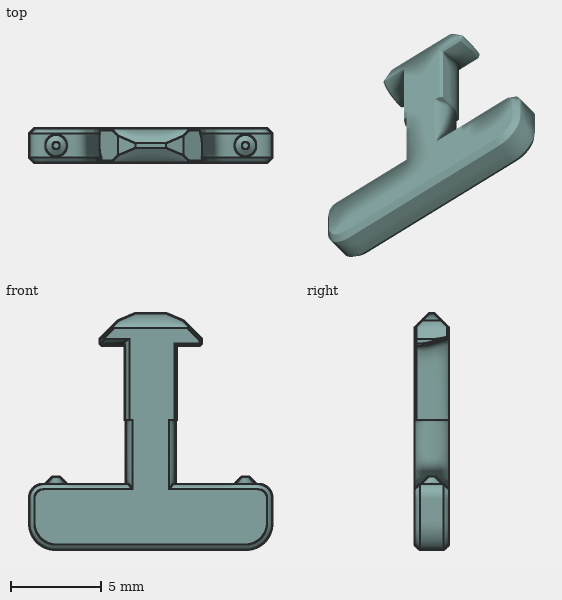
import cadquery as cq
import math

thickness = 1.93
half_thickness = thickness / 2
total_height = 13.14

bar_length = 13.504
bar_height = 3.67
bar_bottom_radius = 1.5
bar_top_radius = 0.8
bar_chamfer = 0.3

bump_spacing = 10.5
bump_base_radius = 0.6
bump_tip_radius = 0.2
bump_height = 0.4

shaft_radius = 1.39
neck_half_width = 1.45
neck_start = 7.22
neck_arc_start = 0.23
neck_arc_inset = 0.27
edge_chamfer = 0.13

head_half_length = 2.84
head_bottom = 11.32
head_side_height = 0.38
crest_half_length = 0.85
crest_half_width = 0.13
end_break_half_length = 1.81
ramp_start = 0.35
ramp_rise = 0.39


def make_bar():
    """Flat bar with rounded corners and chamfered faces."""
    bar = (
        cq.Workplane("XY")
        .box(bar_length, thickness, bar_height, centered=(True, True, False))
        .edges("|Y and <Z").fillet(bar_bottom_radius)
        .edges("|Y and >Z").fillet(bar_top_radius)
    )
    return bar.faces("<Y or >Y").chamfer(bar_chamfer)


def make_bump(x):
    """Truncated cone standing on the bar."""
    cone = cq.Solid.makeCone(
        bump_base_radius, bump_tip_radius, bump_height, pnt=cq.Vector(x, 0, bar_height)
    )
    return cq.Workplane(obj=cone)


def make_shaft():
    """Round shaft, flattened to the part thickness, rooted inside the bar."""
    root = bar_height / 2
    length = neck_start - root
    flats = cq.Workplane("XY", origin=(0, 0, root)).box(
        2 * shaft_radius, thickness, length, centered=(True, True, False)
    )
    return cq.Workplane("XY", origin=(0, 0, root)).circle(shaft_radius).extrude(length).intersect(flats)


def make_neck():
    """Neck with two opposite curved corners and two opposite chamfered corners."""
    arc_end_x = neck_half_width - neck_arc_inset
    neck_end = head_bottom + ramp_rise + edge_chamfer
    chamfer_x = neck_half_width - edge_chamfer
    chamfer_y = half_thickness - edge_chamfer
    return (
        cq.Workplane("XY", origin=(0, 0, neck_start))
        .moveTo(-neck_half_width, chamfer_y)
        .lineTo(-neck_half_width, -neck_arc_start)
        .tangentArcPoint((-arc_end_x, -half_thickness), relative=False)
        .lineTo(chamfer_x, -half_thickness)
        .lineTo(neck_half_width, -chamfer_y)
        .lineTo(neck_half_width, neck_arc_start)
        .tangentArcPoint((arc_end_x, half_thickness), relative=False)
        .lineTo(-chamfer_x, half_thickness)
        .close()
        .extrude(neck_end - neck_start)
    )


def make_head_block():
    """Roof-shaped head with a flat underside and chamfered ends."""
    side_top = head_bottom + head_side_height
    break_height = side_top + head_half_length - end_break_half_length
    eave_height = total_height - (half_thickness - crest_half_width)
    block = (
        cq.Workplane("XZ", origin=(0, half_thickness, 0))
        .moveTo(-head_half_length, head_bottom)
        .lineTo(-head_half_length, side_top)
        .lineTo(-end_break_half_length, break_height)
        .lineTo(-crest_half_length, total_height)
        .lineTo(crest_half_length, total_height)
        .lineTo(end_break_half_length, break_height)
        .lineTo(head_half_length, side_top)
        .lineTo(head_half_length, head_bottom)
        .close()
        .extrude(thickness)
    )
    end_side_edges = block.edges("|Z")
    end_slope_edges = block.edges("|(1, 0, 1) or |(-1, 0, 1)")
    block = end_side_edges.add(end_slope_edges).chamfer(edge_chamfer)
    roof = (
        cq.Workplane("YZ", origin=(-head_half_length, 0, 0))
        .moveTo(-half_thickness, head_bottom)
        .lineTo(-half_thickness, eave_height)
        .lineTo(-crest_half_width, total_height)
        .lineTo(crest_half_width, total_height)
        .lineTo(half_thickness, eave_height)
        .lineTo(half_thickness, head_bottom)
        .close()
        .extrude(2 * head_half_length)
    )
    return block.intersect(roof)


def make_end_outline():
    """Prism around the head whose ends are flat on one half and rounded on the other."""
    round_end_x = math.sqrt(head_half_length**2 - half_thickness**2)
    return (
        cq.Workplane("XY", origin=(0, 0, head_bottom))
        .moveTo(-head_half_length, half_thickness)
        .lineTo(-head_half_length, 0)
        .tangentArcPoint((-round_end_x, -half_thickness), relative=False)
        .lineTo(head_half_length, -half_thickness)
        .lineTo(head_half_length, 0)
        .tangentArcPoint((round_end_x, half_thickness), relative=False)
        .close()
        .extrude(total_height - head_bottom)
    )


def make_underside_cutter():
    """Space under the -X half of the head, with a flat and a smoothly joined ramp."""
    floor = head_bottom - edge_chamfer
    ramp_angle = math.atan(ramp_rise / (ramp_start + half_thickness))
    blend_start_y = ramp_start + ramp_start / math.cos(ramp_angle)
    blend_end_z = head_bottom + ramp_start * math.tan(ramp_angle)
    return (
        cq.Workplane("YZ", origin=(-head_half_length - edge_chamfer, 0, 0))
        .moveTo(half_thickness, floor)
        .lineTo(half_thickness, head_bottom + edge_chamfer)
        .lineTo(half_thickness - edge_chamfer, head_bottom)
        .lineTo(blend_start_y, head_bottom)
        .tangentArcPoint((0, blend_end_z), relative=False)
        .lineTo(-half_thickness, head_bottom + ramp_rise)
        .lineTo(-half_thickness, floor)
        .close()
        .extrude(head_half_length + edge_chamfer)
    )


def underside_end_edges(head, side):
    """Edges where the underside meets the end of the head on the given side of X."""
    inner_x = side * (head_half_length - 2 * edge_chamfer)
    outer_x = side * (head_half_length + edge_chamfer)
    edge_y = half_thickness - edge_chamfer
    gap = edge_chamfer / 2
    middle_z = head_bottom + edge_chamfer
    top_z = head_bottom + head_side_height
    flat_part = cq.selectors.BoxSelector(
        (inner_x, -side * gap, head_bottom - edge_chamfer), (outer_x, -side * edge_y, middle_z)
    )
    rounded_part = cq.selectors.BoxSelector(
        (inner_x, side * gap, middle_z), (outer_x, side * edge_y, top_z)
    )
    return head.edges(flat_part).vals() + head.edges(rounded_part).vals()


def make_head():
    """Head whose two halves match under a half turn about the vertical axis."""
    cutter = make_underside_cutter()
    opposite_cutter = cutter.rotate((0, 0, 0), (0, 0, 1), 180)
    head = make_head_block().intersect(make_end_outline())
    head = head.cut(cutter).cut(opposite_cutter)
    bottom_edges = []
    for side in (-1, 1):
        bottom_edges += underside_end_edges(head, side)
    return head.newObject(bottom_edges).chamfer(edge_chamfer)


result = make_bar().union(make_shaft()).union(make_neck()).union(make_head())
for bump_x in (-bump_spacing / 2, bump_spacing / 2):
    result = result.union(make_bump(bump_x))